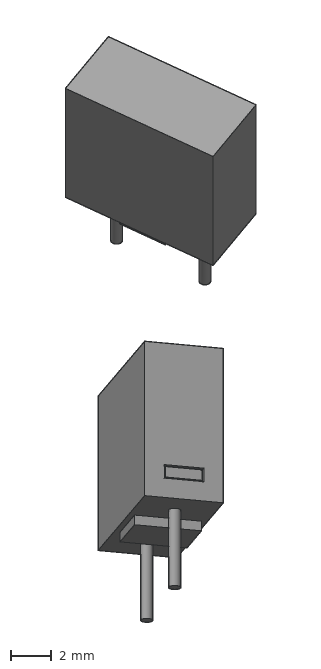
import cadquery as cq

case_length = 8.5
case_width = 4.0
case_height = 8.0

pin_diameter = 0.6
pin_pitch = 5.08
pin_length = 4.0

standoff_length = 2.65
standoff_width = 3.4
standoff_height = 0.5

pocket_width = 2.0
pocket_height = 0.7
pocket_depth = 0.2
pocket_bottom = 1.0
island_gap = 0.08
island_recess = 0.05


def box_on_base(length, width, height):
    return cq.Workplane("XY").box(length, width, height, centered=(True, True, False))


def make_case():
    return box_on_base(case_length, case_width, case_height)


def make_standoff():
    return box_on_base(standoff_length, standoff_width, standoff_height).translate((0, 0, -standoff_height))


def make_pins():
    pin_offset = pin_pitch / 2
    return (
        cq.Workplane("XY")
        .pushPoints([(-pin_offset, 0), (pin_offset, 0)])
        .circle(pin_diameter / 2)
        .extrude(-pin_length)
    )


def make_end_block(width, height, start_depth, end_depth):
    """Block centred on the pocket, reaching between two depths below the -X end face."""
    start_x = start_depth - case_length / 2
    middle_z = pocket_bottom + pocket_height / 2
    return (
        cq.Workplane("YZ", origin=(start_x, 0, middle_z))
        .rect(width, height)
        .extrude(end_depth - start_depth)
    )


def make_pocket():
    return make_end_block(pocket_width, pocket_height, 0, pocket_depth)


def make_island():
    island_width = pocket_width - 2 * island_gap
    island_height = pocket_height - 2 * island_gap
    return make_end_block(island_width, island_height, island_recess, pocket_depth)


case = make_case().cut(make_pocket()).union(make_island())
result = case.union(make_standoff()).union(make_pins())